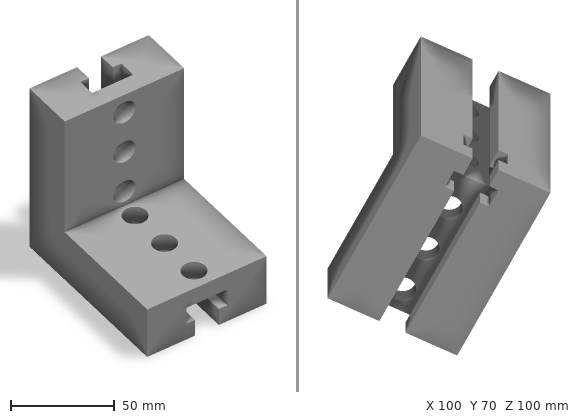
import cadquery as cq

leg_length = 100.0
width = 70.0
leg_thickness = 30.0

neck_width = 14.0
neck_depth = 10.0
head_width = 24.0
slot_depth = 20.0

hole_diameter = 13.0
hole_count = 3
hole_pitch = 25.0
first_hole = 39.0


def angle_body():
    """L-shaped bracket with its outer corner on the Y axis, centred on Y."""
    outline = [
        (0, 0),
        (leg_length, 0),
        (leg_length, leg_thickness),
        (leg_thickness, leg_thickness),
        (leg_thickness, leg_length),
        (0, leg_length),
    ]
    return cq.Workplane("XZ").polyline(outline).close().extrude(width / 2, both=True)


def base_cutter():
    """T-slot and hole row for the horizontal leg, open to its underside."""
    neck = cq.Workplane("XY").box(leg_length, neck_width, slot_depth, centered=(False, True, False))
    head = (
        cq.Workplane("XY", origin=(0, 0, neck_depth))
        .box(leg_length, head_width, slot_depth - neck_depth, centered=(False, True, False))
    )
    hole_centers = [(first_hole + i * hole_pitch, 0) for i in range(hole_count)]
    holes = (
        cq.Workplane("XY")
        .pushPoints(hole_centers)
        .circle(hole_diameter / 2)
        .extrude(leg_thickness)
    )
    return neck.union(head).union(holes)


def upright_cutter():
    """The base cutter turned onto the upright leg by swapping X and Z."""
    half_turn_axis_end = (1, 0, 1)
    return base_cutter().rotate((0, 0, 0), half_turn_axis_end, 180)


result = angle_body().cut(base_cutter()).cut(upright_cutter())